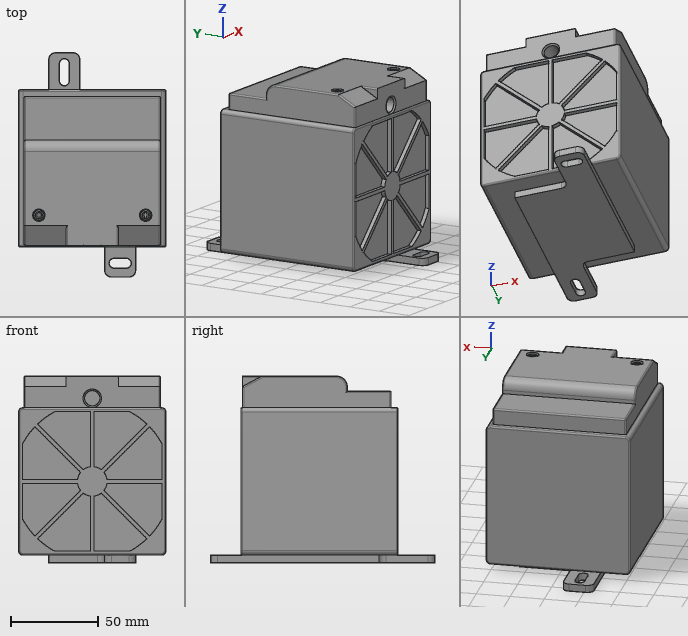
import cadquery as cq
import math

plate_thickness = 4.4
body_width = 84.8
body_height = body_width
body_length = 90.3
body_corner_radius = 2.6
edge_radius = 0.9
body_front = -body_length / 2
body_middle = plate_thickness + body_height / 2
body_top = plate_thickness + body_height

total_height = 107.4
cover_width = 78.5
cover_front = body_front + edge_radius
cover_back = body_length / 2 - 3.9
step_y = 16.1
step_height = 98.7
step_radius = 6.5
ramp_start = -33.0
ramp_front_height = 101.3
nose_width = 30.0

web_width = 80.3
rim_radius = 45.5
hub_radius = 8.5
spoke_width = 2.2
spoke_lines = 4
pocket_depth = 2.6

entry_height = 94.6
entry_radius = 4.4
entry_mouth_radius = 5.3
entry_depth = 10.3

screw_spacing = 61.4
screw_y = -27.0
screw_recess_diameter = 7.1
screw_recess_depth = 1.7
screw_head_diameter = 5.9
screw_head_height = 1.3
screw_head_chamfer = 0.9
cross_length = 3.1
cross_width = 1.2
cross_depth = 0.8

plate_width = 50.0
plate_back = 66.5
plate_front = plate_back - 129.0
panel_end = 34.2
tab_width = 17.9
tab_offset = (plate_width - tab_width) / 2
tab_radius = 4.0
slot_width = 5.5
back_slot_length = 15.5
back_slot_y = 55.2
front_slot_length = 12.6
front_slot_y = -54.6


def make_body():
    box = cq.Workplane("XY").box(body_width, body_length, body_height)
    box = box.edges("|Y").fillet(body_corner_radius)
    box = box.faces("<Y or >Y").edges().fillet(edge_radius)
    return box.translate((0, 0, body_middle))


def make_cover():
    foot = body_top - 2 * edge_radius
    half_width = cover_width / 2
    cover = (
        cq.Workplane("YZ", origin=(-half_width, 0, 0))
        .moveTo(cover_front, foot)
        .lineTo(cover_front, ramp_front_height)
        .lineTo(ramp_start, total_height)
        .lineTo(step_y - step_radius, total_height)
        .radiusArc((step_y, total_height - step_radius), step_radius)
        .lineTo(step_y, step_height)
        .lineTo(cover_back, step_height)
        .lineTo(cover_back, foot)
        .close()
        .extrude(cover_width)
    )
    rear_top_edge = cq.selectors.NearestToPointSelector((0, cover_back, step_height))
    side_edges = cover.faces("<X or >X").edges("not <Z")
    cover = side_edges.add(cover.edges("|X").edges(rear_top_edge)).fillet(edge_radius)

    nose = (
        cq.Workplane("XY", origin=(0, cover_front, foot))
        .box(nose_width, ramp_start - cover_front, total_height - foot, centered=(True, False, False))
        .edges("|Y and >Z")
        .fillet(edge_radius)
    )
    return cover.union(nose)


def make_front_pockets():
    def front_plane():
        return cq.Workplane("XZ", origin=(0, body_front, body_middle))

    pockets = front_plane().rect(web_width, web_width).extrude(-pocket_depth)
    pockets = pockets.intersect(front_plane().circle(rim_radius).extrude(-pocket_depth))
    pockets = pockets.cut(front_plane().circle(hub_radius).extrude(-pocket_depth))
    for index in range(spoke_lines):
        angle = index * 180 / spoke_lines
        spoke = (
            front_plane()
            .transformed(rotate=(0, 0, angle))
            .rect(2 * rim_radius, spoke_width)
            .extrude(-pocket_depth)
        )
        pockets = pockets.cut(spoke)
    return pockets


def make_cable_entry():
    bore_start = cover_front + entry_mouth_radius - entry_radius
    bore_end = cover_front + entry_depth
    return (
        cq.Workplane("XY", origin=(0, 0, entry_height))
        .moveTo(0, cover_front)
        .lineTo(entry_mouth_radius, cover_front)
        .lineTo(entry_radius, bore_start)
        .lineTo(entry_radius, bore_end)
        .lineTo(0, bore_end)
        .close()
        .revolve(360, (0, 0), (0, 1))
    )


def make_screw_recess():
    recess = cq.Workplane("XY").circle(screw_recess_diameter / 2).extrude(-screw_recess_depth)
    head = (
        cq.Workplane("XY", origin=(0, 0, -screw_recess_depth))
        .circle(screw_head_diameter / 2)
        .extrude(screw_head_height)
        .faces(">Z")
        .chamfer(screw_head_chamfer)
    )
    head_top = head.faces(">Z").workplane()
    cross = head_top.rect(cross_length, cross_width).extrude(-cross_depth, combine=False)
    cross = cross.union(head_top.rect(cross_width, cross_length).extrude(-cross_depth, combine=False))
    return recess.cut(head.cut(cross))


def make_tab(end_y, side, slot_y, slot_length, slot_angle):
    """Half of the plate: a strip from the middle to end_y, with its slot and root fillet."""
    direction = math.copysign(1, end_y)
    tab_x = side * tab_offset
    strip = (
        cq.Workplane("XY")
        .center(tab_x, end_y / 2)
        .rect(tab_width, abs(end_y))
        .extrude(plate_thickness)
    )
    strip = strip.edges("|Z").edges(">Y" if direction > 0 else "<Y").fillet(tab_radius)
    panel = (
        cq.Workplane("XY")
        .center(0, direction * panel_end / 2)
        .rect(plate_width, panel_end)
        .extrude(plate_thickness)
    )
    root_x = tab_x - side * tab_width / 2
    root = cq.selectors.NearestToPointSelector((root_x, direction * panel_end, plate_thickness / 2))
    slot = (
        cq.Workplane("XY")
        .center(tab_x, slot_y)
        .slot2D(slot_length, slot_width, slot_angle)
        .extrude(plate_thickness)
    )
    return panel.union(strip).edges("|Z").edges(root).fillet(tab_radius).cut(slot)


plate = make_tab(plate_back, -1, back_slot_y, back_slot_length, 90)
plate = plate.union(make_tab(plate_front, 1, front_slot_y, front_slot_length, 0))

result = make_body().union(make_cover()).union(plate)
result = result.cut(make_front_pockets()).cut(make_cable_entry())
for screw_x in (-screw_spacing / 2, screw_spacing / 2):
    result = result.cut(make_screw_recess().translate((screw_x, screw_y, total_height)))